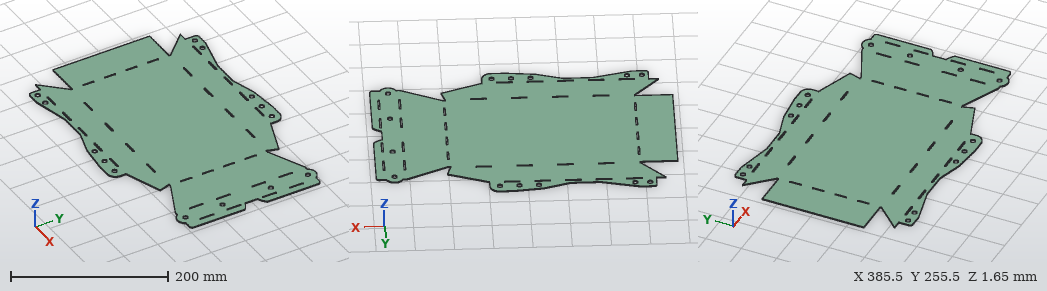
import cadquery as cq
import math

length = 385.5
half_width = 255.5 / 2
thickness = 1.65

hole_diameter = 6.5
slot_width = 2.0
long_slot = 20.0
short_slot = 16.0

floor_left = 48.5
floor_right = 289.5
floor_half_width = 71.7

wing_fold_y = 107.0
wing_tip_x = 16.5
notch_step = 2.0
flange_left = 29.0
flange_right = 241.7
flange_left_top = 125.3
flange_left_flat_end = 49.7
waist_start = 100.2
waist_end = 138.5
waist_y = 113.5
shoulder_x = 172.7
shoulder_y = 123.7
crest_x = 211.3
crest_corner_radius = 12.0
wing_rear_x = 294.5
wing_rear_y = 88.0
flange_hole_xs = (37.5, 56.3, 179.3, 204.0, 229.0)
flange_hole_y = 116.5

tail_root_x = 293.0
tail_shoulder_x = 346.5
tail_half_width = 96.5
tail_hole_x = 362.0
tail_outer_hole_y = 90.5
tail_inner_hole_y = 36.0
ear_radius = 12.0
tail_notch_x = 374.0
tail_notch_half_width = 9.3
tail_lip_y = 16.5
lip_arc_bulge = 0.8
small_corner_radius = 4.0

outer_row_y = 108.0
outer_row_start = 57.0
outer_row_pitch = 39.0
outer_row_count = 5
inner_row_y = 73.5
inner_row_start = 91.5
inner_row_pitch = 52.0
inner_row_count = 4
cross_row_xs = (floor_left, 292.0)
cross_row_ys = (15.8, 47.8)
tail_row_xs = (348.0, 374.7)
tail_row_ys = (26.2, 66.3)


def mirrored(points):
    """Return the points together with their reflections across the X axis."""
    return points + [(x, -y) for x, y in points]


def corner_arc(outline, corner_x, corner_y, radius):
    """Draw to a top right corner along +X and round it with a quarter arc."""
    centre_x = corner_x - radius
    centre_y = corner_y - radius
    diagonal = radius * math.sqrt(0.5)
    return outline.lineTo(centre_x, corner_y).threePointArc(
        (centre_x + diagonal, centre_y + diagonal), (corner_x, centre_y)
    )


def half_sheet():
    """Extrude the +Y half of the outline, starting on the X axis at the left edge."""
    outline = (
        cq.Workplane("XY")
        .lineTo(0, floor_half_width)
        .lineTo(floor_left, floor_half_width)
        .lineTo(floor_left, floor_half_width + notch_step)
        .lineTo(wing_tip_x, wing_fold_y)
        .lineTo(flange_left, wing_fold_y)
    )

    diagonal_inset = small_corner_radius * (1 - math.sqrt(0.5))
    outline = (
        outline.lineTo(flange_left, flange_left_top - small_corner_radius)
        .threePointArc(
            (flange_left + diagonal_inset, flange_left_top - diagonal_inset),
            (flange_left + small_corner_radius, flange_left_top),
        )
        .lineTo(flange_left_flat_end, flange_left_top)
        .lineTo(waist_start, waist_y)
        .lineTo(waist_end, waist_y)
        .lineTo(shoulder_x, shoulder_y)
        .lineTo(crest_x, half_width)
    )
    outline = corner_arc(outline, flange_right, half_width, crest_corner_radius)

    ear_rise = tail_half_width - tail_outer_hole_y
    ear_half_chord = math.sqrt(ear_radius**2 - ear_rise**2)
    outline = (
        outline.lineTo(flange_right, wing_fold_y)
        .lineTo(wing_rear_x, wing_rear_y)
        .lineTo(floor_right, floor_half_width)
        .lineTo(tail_root_x, floor_half_width)
        .lineTo(tail_shoulder_x, tail_half_width)
        .lineTo(tail_hole_x - ear_half_chord, tail_half_width)
        .threePointArc(
            (tail_hole_x, tail_outer_hole_y + ear_radius),
            (tail_hole_x + ear_half_chord, tail_half_width),
        )
    )
    outline = corner_arc(outline, length, tail_half_width, small_corner_radius)

    outline = (
        outline.lineTo(length, tail_lip_y)
        .sagittaArc((tail_notch_x, tail_notch_half_width), lip_arc_bulge)
        .lineTo(tail_notch_x, 0)
        .close()
    )
    return outline.extrude(thickness)


def cut_slots(sheet, points, slot_length, angle):
    """Cut round-ended slots through the sheet, centred on the points and their reflections."""
    cutters = (
        cq.Workplane("XY")
        .pushPoints(mirrored(points))
        .slot2D(slot_length, slot_width, angle)
        .extrude(thickness)
    )
    return sheet.cut(cutters)


def cut_holes(sheet):
    """Drill the flange and tail holes."""
    points = [(x, flange_hole_y) for x in flange_hole_xs]
    points += [(tail_hole_x, y) for y in (tail_inner_hole_y, tail_outer_hole_y)]
    cutters = cq.Workplane("XY").pushPoints(mirrored(points)).circle(hole_diameter / 2).extrude(thickness)
    return sheet.cut(cutters)


upper_half = half_sheet()
sheet = upper_half.union(upper_half.mirror("XZ")).clean()
sheet = cut_holes(sheet)

outer_row = [(outer_row_start + i * outer_row_pitch, outer_row_y) for i in range(outer_row_count)]
inner_row = [(inner_row_start + i * inner_row_pitch, inner_row_y) for i in range(inner_row_count)]
cross_rows = [(x, y) for x in cross_row_xs for y in cross_row_ys]
tail_rows = [(x, y) for x in tail_row_xs for y in tail_row_ys]

sheet = cut_slots(sheet, outer_row + inner_row, long_slot, 0)
sheet = cut_slots(sheet, cross_rows, short_slot, 90)
sheet = cut_slots(sheet, tail_rows, long_slot, 90)

result = sheet